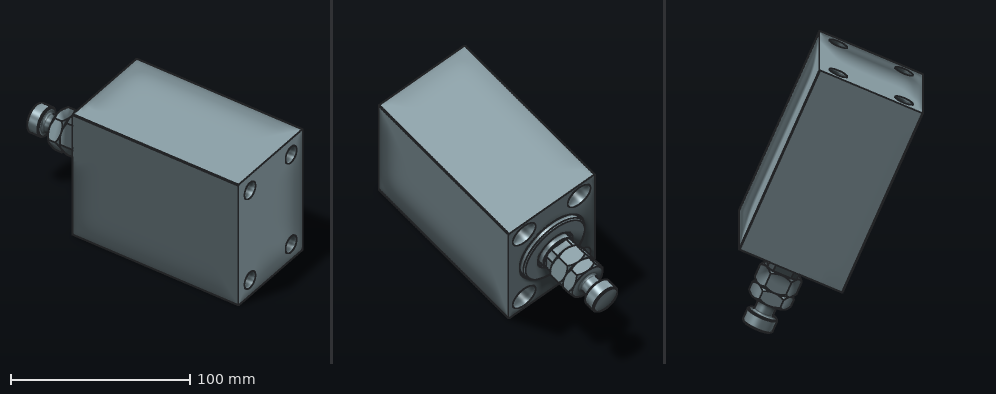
import cadquery as cq
import math


housing_length = 113.0
housing_width = 63.0
housing_height = 85.0
housing_edge_chamfer = 0.5
bolt_spacing_y = 40.0
bolt_spacing_z = 63.0
bolt_hole_diameter = 10.9
counterbore_diameter = 16.6
counterbore_depth = 32.0

gland_diameter = 45.0
gland_protrusion = 3.0
gland_chamfer = 1.0
gland_seat_depth = 25.0
gland_bore_entry_chamfer = 1.0
wiper_recess_diameter = 25.6
wiper_recess_depth = 1.6

rod_diameter = 22.0
rod_chamfer = 0.5
rod_shoulder_reach = 6.0
rod_tip_reach = 12.0
wrench_square = 18.0

hex_sides = 6
hex_across_flats = 22.0
hex_chamfer_angle = 45.0
rear_hex_thickness = 11.0
front_hex_thickness = 8.0
neck_diameter = 11.2
neck_fillet = 1.3
head_diameter = 18.0
head_length = 8.0
head_chamfer = 0.6
total_length = 160.0

stud_tip_reach = total_length - housing_length


def cylinder(x_start, x_end, diameter):
    """Solid cylinder on the X axis."""
    return cq.Workplane("YZ", origin=(x_start, 0, 0)).circle(diameter / 2).extrude(x_end - x_start)


def make_housing():
    block = cq.Workplane("YZ").rect(housing_width, housing_height).extrude(housing_length)
    block = block.edges("|X").chamfer(housing_edge_chamfer)

    block = block.cut(cylinder(0, gland_seat_depth, gland_diameter))
    bore_rim = cq.selectors.RadiusNthSelector(0)
    block = block.faces("<X").edges(bore_rim).chamfer(gland_bore_entry_chamfer)

    bolt_points = cq.Workplane("YZ").rect(bolt_spacing_y, bolt_spacing_z, forConstruction=True).vertices()
    holes = bolt_points.circle(bolt_hole_diameter / 2).extrude(housing_length)
    counterbores = bolt_points.circle(counterbore_diameter / 2).extrude(counterbore_depth)
    return block.cut(holes).cut(counterbores)


def make_gland():
    bush = cylinder(-gland_protrusion, gland_seat_depth, gland_diameter)
    bush = bush.faces("<X").chamfer(gland_chamfer)
    rod_bore = cylinder(-gland_protrusion, gland_seat_depth, rod_diameter)
    wiper_recess = cylinder(-gland_protrusion, wiper_recess_depth - gland_protrusion, wiper_recess_diameter)
    return bush.cut(rod_bore).cut(wiper_recess)


def make_rod():
    shaft = cylinder(-rod_shoulder_reach, gland_seat_depth, rod_diameter)
    shaft = shaft.faces("<X").chamfer(rod_chamfer)

    tip_length = rod_tip_reach - rod_shoulder_reach
    tip = cylinder(-rod_tip_reach, -rod_shoulder_reach, rod_diameter - 2 * rod_chamfer)
    square = (
        cq.Workplane("YZ", origin=(-rod_tip_reach, 0, 0))
        .rect(wrench_square, wrench_square)
        .extrude(tip_length)
    )
    return shaft.union(tip.intersect(square))


def chamfered_hexagon(x_start, thickness):
    """Hexagon along X with corners at +Y and -Y, both ends turned to a cone at the corners."""
    across_corners = hex_across_flats / math.cos(math.radians(180 / hex_sides))
    prism = cq.Workplane("YZ", origin=(x_start, 0, 0)).polygon(hex_sides, across_corners).extrude(thickness)

    corner_height = (across_corners - hex_across_flats) / 2
    chamfer_length = corner_height * math.tan(math.radians(hex_chamfer_angle))
    turned_blank = cylinder(x_start, x_start + thickness, across_corners)
    turned_blank = turned_blank.faces("<X or >X").edges().chamfer(chamfer_length, corner_height)
    return prism.intersect(turned_blank)


def make_stud():
    rear_hex_x = -rod_tip_reach - rear_hex_thickness
    front_hex_x = rear_hex_x - front_hex_thickness
    head_end_x = head_length - stud_tip_reach

    head_radius = head_diameter / 2
    neck_radius = neck_diameter / 2
    arc_inset = neck_fillet * (1 - math.sqrt(0.5))
    head_and_neck = (
        cq.Workplane("XY")
        .moveTo(-stud_tip_reach, 0)
        .lineTo(-stud_tip_reach, head_radius - head_chamfer)
        .lineTo(-stud_tip_reach + head_chamfer, head_radius)
        .lineTo(head_end_x - head_chamfer, head_radius)
        .lineTo(head_end_x, head_radius - head_chamfer)
        .lineTo(head_end_x, neck_radius + neck_fillet)
        .threePointArc(
            (head_end_x + arc_inset, neck_radius + arc_inset),
            (head_end_x + neck_fillet, neck_radius),
        )
        .lineTo(front_hex_x - neck_fillet, neck_radius)
        .threePointArc(
            (front_hex_x - arc_inset, neck_radius + arc_inset),
            (front_hex_x, neck_radius + neck_fillet),
        )
        .lineTo(front_hex_x, 0)
        .close()
        .revolve(360, (0, 0, 0), (1, 0, 0))
    )
    front_hex = chamfered_hexagon(front_hex_x, front_hex_thickness)
    rear_hex = chamfered_hexagon(rear_hex_x, rear_hex_thickness)
    return head_and_neck.union(front_hex).union(rear_hex)


housing = make_housing()
gland = make_gland()
rod = make_rod()
stud = make_stud()

result = cq.Compound.makeCompound([housing.val(), gland.val(), rod.val(), stud.val()])